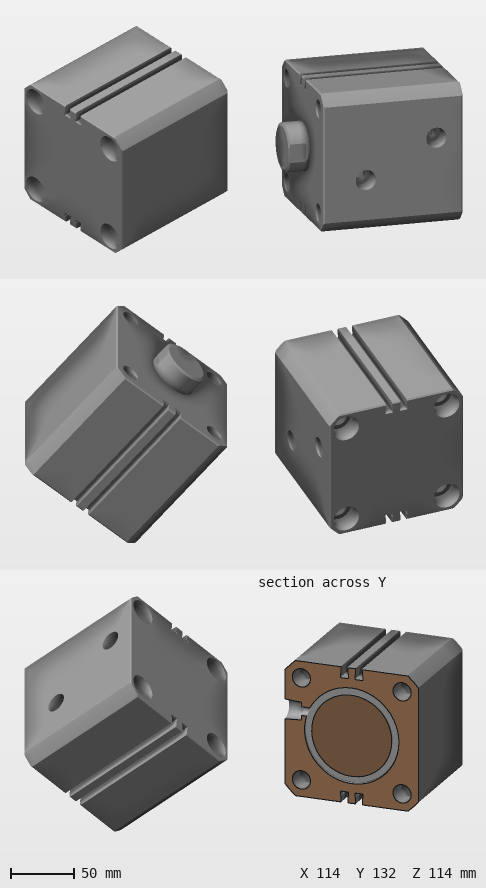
import cadquery as cq

TOTAL_LENGTH = 132.0

BODY_WIDTH = 114.0
BODY_LENGTH = 115.0
CORNER_RADIUS = 74.5
END_CHAMFER = 1.0

BOLT_SPACING = 85.8
BOLT_DIAMETER = 15.0
COUNTERBORE_DIAMETER = 22.0
COUNTERBORE_DEPTH = 17.2

GROOVE_SPACING = 12.3
GROOVE_MOUTH_WIDTH = 5.4
GROOVE_FOOT_WIDTH = 6.5
GROOVE_LIP_DEPTH = 5.8
GROOVE_DEPTH = 9.1

BORE_DIAMETER = 80.0
HEAD_THICKNESS = 19.1
GLAND_LENGTH = 30.4

PORT_OFFSET = 14.9
HEAD_PORT_Y = 21.9
ROD_PORT_SETBACK = 34.8
ROD_PORT_Y = BODY_LENGTH - ROD_PORT_SETBACK
PORT_MOUTH_DIAMETER = 16.6
PORT_FLOOR_DIAMETER = 14.8
PORT_DEPTH = 14.0
PASSAGE_DIAMETER = 7.4
PASSAGE_END = 22.5

PISTON_LENGTH = 30.0
PISTON_NOSE_DIAMETER = 68.6
PISTON_NOSE_LENGTH = 2.9
PISTON_CHAMFER = 0.5

ROD_DIAMETER = 40.0
ROD_CHAMFER_LENGTH = 1.2
ROD_CHAMFER_DEPTH = 2.4
FLAT_WIDTH = 37.0
FLAT_LENGTH = 14.1

CHAMBER_LENGTH = BODY_LENGTH - HEAD_THICKNESS - GLAND_LENGTH
PISTON_FRONT_Y = HEAD_THICKNESS + PISTON_LENGTH


def rod_along_y(diameter, start, length):
    """Round bar on the Y axis that runs from y = start toward +Y."""
    bar = cq.Solid.makeCylinder(diameter / 2, length, cq.Vector(0, start, 0), cq.Vector(0, 1, 0))
    return cq.Workplane(obj=bar)


def make_blank():
    """Square block with chamfered ends, its long edges rounded off by one large cylinder."""
    block = cq.Workplane("XY").box(BODY_WIDTH, BODY_LENGTH, BODY_WIDTH)
    block = block.translate((0, BODY_LENGTH / 2, 0))
    block = block.faces("<Y or >Y").chamfer(END_CHAMFER)
    return block.intersect(rod_along_y(2 * CORNER_RADIUS, 0, BODY_LENGTH))


def cut_bolt_holes(body):
    """Four through holes, counterbored from the head face."""
    return (
        body.faces("<Y")
        .workplane(origin=(0, 0, 0))
        .rect(BOLT_SPACING, BOLT_SPACING, forConstruction=True)
        .vertices()
        .cboreHole(BOLT_DIAMETER, COUNTERBORE_DIAMETER, COUNTERBORE_DEPTH)
    )


def groove_cutter(x, side):
    """T-groove at the given x, open toward +Z (side = 1) or -Z (side = -1)."""
    face_z = side * BODY_WIDTH / 2
    foot_height = GROOVE_DEPTH - GROOVE_LIP_DEPTH
    mouth = cq.Workplane("XY").box(GROOVE_MOUTH_WIDTH, BODY_LENGTH, GROOVE_DEPTH)
    mouth = mouth.translate((x, BODY_LENGTH / 2, face_z - side * GROOVE_DEPTH / 2))
    foot = cq.Workplane("XY").box(GROOVE_FOOT_WIDTH, BODY_LENGTH, foot_height)
    foot = foot.translate((x, BODY_LENGTH / 2, face_z - side * (GROOVE_LIP_DEPTH + foot_height / 2)))
    return mouth.union(foot)


def port_cutter(y, z):
    """Tapered port on the -X side, with a narrow passage into the chamber."""
    passage_radius = PASSAGE_DIAMETER / 2
    profile = [
        (0, 0),
        (0, PORT_MOUTH_DIAMETER / 2),
        (PORT_DEPTH, PORT_FLOOR_DIAMETER / 2),
        (PORT_DEPTH, passage_radius),
        (PASSAGE_END, passage_radius),
        (PASSAGE_END, 0),
    ]
    cutter = cq.Workplane("XY").polyline(profile).close().revolve(360, (0, 0, 0), (1, 0, 0))
    return cutter.translate((-BODY_WIDTH / 2, y, z))


def make_housing():
    body = cut_bolt_holes(make_blank())
    for side in (1, -1):
        for x in (-GROOVE_SPACING / 2, GROOVE_SPACING / 2):
            body = body.cut(groove_cutter(x, side))
    body = body.cut(rod_along_y(BORE_DIAMETER, HEAD_THICKNESS, CHAMBER_LENGTH))
    body = body.cut(rod_along_y(ROD_DIAMETER, HEAD_THICKNESS, BODY_LENGTH))
    body = body.cut(port_cutter(HEAD_PORT_Y, PORT_OFFSET))
    return body.cut(port_cutter(ROD_PORT_Y, -PORT_OFFSET))


def make_piston():
    """Disc that fills the bore, its rear edge chamfered, with a smaller nose resting on the head."""
    nose = rod_along_y(PISTON_NOSE_DIAMETER, HEAD_THICKNESS, PISTON_NOSE_LENGTH)
    disc_start = HEAD_THICKNESS + PISTON_NOSE_LENGTH
    disc = rod_along_y(BORE_DIAMETER, disc_start, PISTON_LENGTH - PISTON_NOSE_LENGTH)
    return disc.faces("<Y").chamfer(PISTON_CHAMFER).union(nose)


def flat_cutter(side):
    """Wrench flat on the +X or -X side of the rod, running out at 45 degrees."""
    flat_x = FLAT_WIDTH / 2
    outer_x = ROD_DIAMETER / 2
    flat_end = TOTAL_LENGTH - FLAT_LENGTH
    profile = [
        (side * flat_x, TOTAL_LENGTH),
        (side * flat_x, flat_end),
        (side * outer_x, flat_end - (outer_x - flat_x)),
        (side * outer_x, TOTAL_LENGTH),
    ]
    return cq.Workplane("XY").polyline(profile).close().extrude(ROD_DIAMETER / 2, both=True)


def make_rod():
    """Rod from the piston to the tip, with a chamfered end and two wrench flats."""
    rod = rod_along_y(ROD_DIAMETER, PISTON_FRONT_Y, TOTAL_LENGTH - PISTON_FRONT_Y)
    radius = ROD_DIAMETER / 2
    tip = [
        (radius, TOTAL_LENGTH - ROD_CHAMFER_LENGTH),
        (radius, TOTAL_LENGTH),
        (radius - ROD_CHAMFER_DEPTH, TOTAL_LENGTH),
    ]
    rod = rod.cut(cq.Workplane("XY").polyline(tip).close().revolve(360, (0, 0, 0), (0, 1, 0)))
    for side in (1, -1):
        rod = rod.cut(flat_cutter(side))
    return rod


housing = make_housing()
piston = make_piston()
rod = make_rod()

result = cq.Compound.makeCompound([housing.val(), piston.val(), rod.val()])